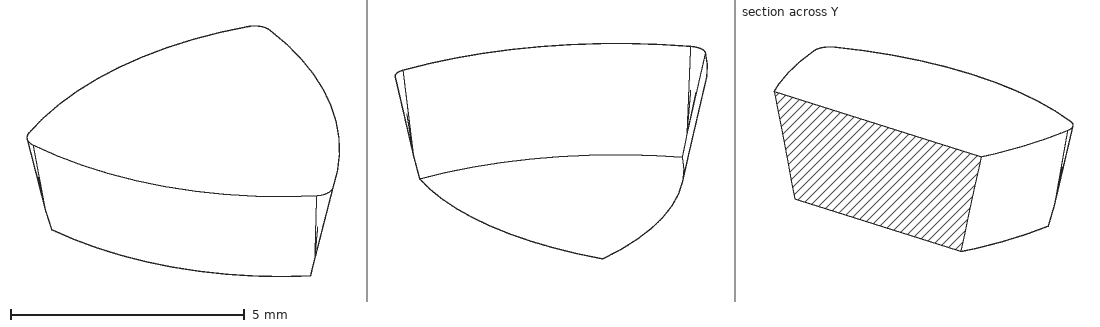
import cadquery as cq
import math

thickness = 2.38
width = 6.86
length = 6.58
side_radius = 8.0
corner_radius = 0.4
relief_angle = 12.0
lowest_y = -2.75

slope = math.tan(math.radians(relief_angle))
offset_radius = side_radius - corner_radius
corner_cone_height = corner_radius / slope
cutter_reach = 2.0

corner_x = width / 2 - corner_radius
base_arc_y = lowest_y + side_radius
base_corner_y = base_arc_y - math.sqrt(offset_radius**2 - corner_x**2)
tip_corner_y = lowest_y + length - corner_radius
corners = [
    cq.Vector(-corner_x, base_corner_y, 0),
    cq.Vector(corner_x, base_corner_y, 0),
    cq.Vector(0, tip_corner_y, 0),
]


def arc_center(start, end):
    """Centre of the side arc that is tangent to the roundings of two neighbouring corners."""
    chord = end - start
    inward = cq.Vector(-chord.y, chord.x, 0).normalized()
    distance = math.sqrt(offset_radius**2 - (chord.Length / 2) ** 2)
    return (start + end) * 0.5 + inward * distance


def cone(center, top_radius, height):
    """Cone standing under the top face, narrowing downward at the relief angle."""
    bottom_radius = max(top_radius - height * slope, 0)
    base = cq.Vector(center.x, center.y, thickness - height)
    return cq.Workplane(obj=cq.Solid.makeCone(bottom_radius, top_radius, height, base))


def corner_wedge(center, directions, height):
    """Vertical wedge from a corner's axis out past the sharp edge, between its tangent lines."""
    first, second = [center + direction * cutter_reach for direction in directions]
    outer = center + (directions[0] + directions[1]) * cutter_reach
    points = [(p.x, p.y) for p in (center, first, outer, second)]
    return cq.Workplane("XY").workplane(offset=thickness - height).polyline(points).close().extrude(height)


def round_corner(body, center, neighbour_centers):
    """Replace the upper part of a sharp corner with a cone that fades out toward the bottom."""
    directions = [(center - arc).normalized() for arc in neighbour_centers]
    wedge = corner_wedge(center, directions, corner_cone_height)
    rounding = cone(center, corner_radius, corner_cone_height).intersect(wedge)
    return body.cut(wedge).union(rounding)


side_centers = [arc_center(corners[i], corners[(i + 1) % len(corners)]) for i in range(len(corners))]

result = cone(side_centers[0], side_radius, thickness)
for side_center in side_centers[1:]:
    result = result.intersect(cone(side_center, side_radius, thickness))

for i, corner in enumerate(corners):
    result = round_corner(result, corner, [side_centers[i - 1], side_centers[i]])